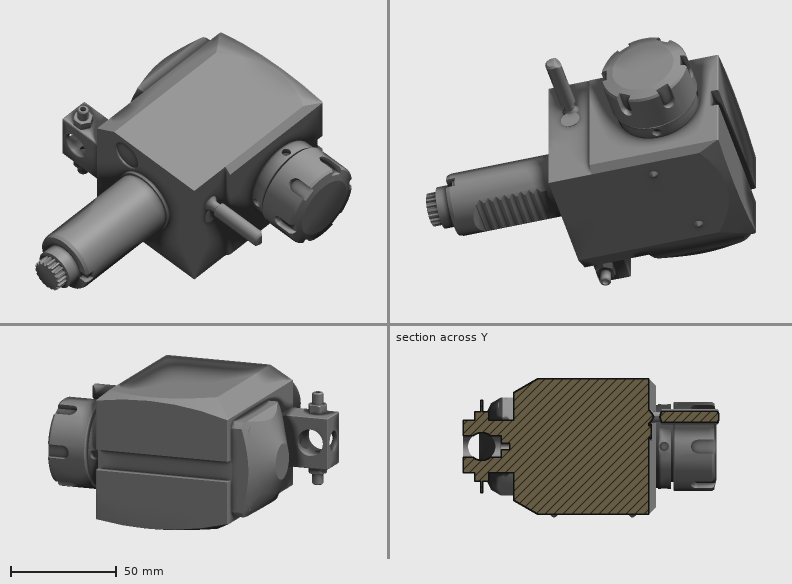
import cadquery as cq
import math

HALF = 32.0
DEPTH = 84.0
SIDE_BEVEL_X = 11.3
SIDE_BEVEL_ANGLE = 30.0
SIDE_BEVEL_Z = SIDE_BEVEL_X * math.tan(math.radians(SIDE_BEVEL_ANGLE))
PLATE_X = 35.2
PLATE_START_Y = 21.0
REAR_EDGE_CHAMFER = 0.6
CROWN_X = 9.2
CROWN_DROP = 0.9
CROWN_RADIUS = 145.0
CROWN_SLOPE = 0.26
REAR_SLOT_WIDTH = 10.0
REAR_SLOT_DEPTH = 3.7
RECESS_X, RECESS_Z = -12.5, 21.5
RECESS_DIAMETER = 14.6
RECESS_DEPTH = 1.0

COLLAR_RADIUS, COLLAR_END = 16.0, 1.5
RELIEF_RADIUS, RELIEF_END = 14.7, 2.2
SHANK_RADIUS, SHANK_END = 15.0, 55.2
SHANK_BEVEL_RADIUS, SHANK_BEVEL = 14.5, 1.8
PILOT_RADIUS, PILOT_END = 10.0, 61.5
SPLINE_END = 67.0
SPLINE_TEETH = 18
FIRST_TOOTH_ANGLE = 90.0
SPLINE_ROOT_RADIUS, SPLINE_TIP_RADIUS = 6.9, 8.0
TOOTH_ROOT_WIDTH, TOOTH_TIP_WIDTH = 1.8, 0.8
SPLINE_END_BEVEL = 0.4
FLAT_Z = -12.1
FLAT_START_Y, FLAT_END_Y = -7.3, -42.2
FLAT_STEP = 1.3
TOOTH_PITCH = 4.0
GROOVE_COUNT = 8
FIRST_GROOVE_Y = -11.9
GROOVE_DEPTH = 1.3
GROOVE_WIDTH = 3.5
KEYWAY_WIDTH, KEYWAY_LENGTH, KEYWAY_FLOOR_X = 5.2, 4.5, 12.9
KEYWAY_STEP_LENGTH = 2.5

SPINDLE_Y = 55.0
RING_START, RING_END, RING_RADIUS = 36.2, 42.4, 20.0
NECK_RADIUS = 16.8
NUT_START, NUT_RIM, NUT_RIM_END, NUT_END = 43.5, 61.6, 62.7, 63.9
NUT_RADIUS, NUT_RIM_RADIUS, NUT_FACE_RADIUS = 21.1, 20.3, 15.0
NUT_BEVEL = 0.5
NUT_SLOTS = 6
FIRST_SLOT_ANGLE = 30.0
NUT_SLOT_WIDTH, NUT_SLOT_START, NUT_SLOT_FLOOR = 6.4, 51.8, 18.0
RING_HOLES = 4
RING_HOLE_X, RING_HOLE_DIAMETER, RING_HOLE_DEPTH = 39.1, 4.4, 3.0

COVER_RADIUS = 32.0
COVER_RIM_X, COVER_TIP_X = -37.2, -48.2
COVER_TIP_RADIUS = 8.65
COVER_HALF_HEIGHT = 23.1
COVER_BACK = 24.7
FACET_START_X = -38.0
FACET_ANGLE = 30.0
COVER_SCREW_OFFSET = 17.8
COVER_SCREW_RADIUS = 3.0
COVER_SCREW_FACE_X = -39.3

COOLANT_X = -55.88
COOLANT_FRONT, COOLANT_REAR = 0.8, 16.0
COOLANT_HALF_HEIGHT = 12.5
COOLANT_CHAMFER = 0.4
BORE_X, BORE_DIAMETER = -47.0, 12.9
INLET_Y = (COOLANT_FRONT + COOLANT_REAR) / 2
INLET_DIAMETER, CHANNEL_DIAMETER = 9.9, 2.8
INLET_END_X, CHANNEL_END_X = -38.0, -34.0
SCREW_Y = 6.0
HEXAGON_SIDES = 6
LOCK_NUT_FLATS, LOCK_NUT_HEIGHT, LOCK_NUT_CHAMFER = 8.3, 4.1, 0.5
SCREW_RADIUS, SCREW_TOP, SCREW_CHAMFER = 2.6, 22.3, 0.5
SOCKET_DIAMETER, SOCKET_DEPTH = 3.0, 3.0
SCREW_CHANNEL_Z = 8.0

PIN_Y, PIN_Z = 10.9, 14.0
PIN_RADIUS, PIN_START, PIN_END = 3.65, 37.9, 65.0
PIN_TIP_CHAMFER = 0.9
PIN_TIP_BEVEL = 2.8
STEM_RADIUS, SEAT_RADIUS, SEAT_END = 2.4, 4.0, 34.0
STEM_BEVEL = 0.8
WASHER_Z, WASHER_END = 7.1, 33.2
WASHER_BASE_RADIUS, WASHER_RADIUS = 3.6, 4.6

STUD_POSITIONS = [(-12.9, 61.0), (24.1, 49.2)]
STUD_RADIUS, STUD_TIP_RADIUS, STUD_HEIGHT = 2.2, 0.3, 1.6

EMBED = 1.0
MOUTH_CHAMFER = 0.35
CLEAR = 100.0


def box(x0, x1, y0, y1, z0, z1):
    """Box between two opposite corners."""
    return cq.Workplane("XY").box(x1 - x0, y1 - y0, z1 - z0, centered=False).translate((x0, y0, z0))


def cylinder(start, direction, radius, length):
    """Round bar from a start point along a direction."""
    return cq.Workplane(obj=cq.Solid.makeCylinder(radius, length, cq.Vector(*start), cq.Vector(*direction)))


def bore_y(x, y, z, diameter, depth):
    """Cutter for a bore along +Y with a chamfered mouth."""
    radius = diameter / 2
    points = [
        (0, 0),
        (radius + MOUTH_CHAMFER, 0),
        (radius, MOUTH_CHAMFER),
        (radius, depth),
        (0, depth),
    ]
    return turned_y(points).translate((x, y, z))


def turned_x(points, y, z):
    """Body turned about an axis parallel to X, from (x, radius) points."""
    profile = cq.Workplane("XY").polyline(points).close()
    return profile.revolve(360, (0, 0, 0), (1, 0, 0)).translate((0, y, z))


def turned_y(points):
    """Body turned about the Y axis, from (radius, y) points."""
    return cq.Workplane("XY").polyline(points).close().revolve(360, (0, 0, 0), (0, 1, 0))


def crown_envelope(side):
    """Large cone whose surface forms the arched rear bevel (side +1 top, -1 bottom)."""
    front_radius = CROWN_RADIUS + CROWN_SLOPE * DEPTH
    cone = turned_y([(0, 0), (front_radius, 0), (CROWN_RADIUS, DEPTH), (0, DEPTH)])
    axis_z = HALF - CROWN_DROP - CROWN_RADIUS
    return cone.translate((CROWN_X, 0, side * axis_z))


def housing():
    """Bevelled block with side plate, arched rear bevels, rear slot and round recess."""
    plate_bevel = PLATE_X - HALF
    outline = [
        (-HALF, -HALF + SIDE_BEVEL_Z),
        (-HALF + SIDE_BEVEL_X, -HALF),
        (HALF, -HALF),
        (PLATE_X, -HALF + plate_bevel),
        (PLATE_X, HALF - plate_bevel),
        (HALF, HALF),
        (-HALF + SIDE_BEVEL_X, HALF),
        (-HALF, HALF - SIDE_BEVEL_Z),
    ]
    body = cq.Workplane("XZ").polyline(outline).close().extrude(-DEPTH)
    for side_x in (-HALF, PLATE_X):
        body = body.edges(cq.selectors.NearestToPointSelector((side_x, DEPTH, 0))).chamfer(REAR_EDGE_CHAMFER)
    body = body.cut(box(HALF, CLEAR, -EMBED, PLATE_START_Y, -HALF, HALF))
    for side in (1, -1):
        body = body.intersect(crown_envelope(side))
    half_slot = REAR_SLOT_WIDTH / 2
    body = body.cut(box(-CLEAR, CLEAR, DEPTH - REAR_SLOT_DEPTH, DEPTH + EMBED, -half_slot, half_slot))
    return body.cut(bore_y(RECESS_X, 0, RECESS_Z, RECESS_DIAMETER, RECESS_DEPTH))


def serration_cutter():
    """Flat below the shank with V grooves across it."""
    ramp_bottom = -COLLAR_RADIUS - EMBED
    ramp = FLAT_Z - ramp_bottom
    outline = [
        (FLAT_START_Y, FLAT_Z),
        (FLAT_START_Y, FLAT_Z - FLAT_STEP),
        (FLAT_START_Y + ramp - FLAT_STEP, ramp_bottom),
        (FLAT_END_Y - ramp, ramp_bottom),
        (FLAT_END_Y, FLAT_Z),
    ]
    cutter = cq.Workplane("YZ").polyline(outline).close().extrude(COLLAR_RADIUS, both=True)
    half_groove = GROOVE_WIDTH / 2
    for index in range(GROOVE_COUNT):
        y = FIRST_GROOVE_Y - index * TOOTH_PITCH
        groove = [(y - half_groove, FLAT_Z), (y, FLAT_Z + GROOVE_DEPTH), (y + half_groove, FLAT_Z)]
        cutter = cutter.union(cq.Workplane("YZ").polyline(groove).close().extrude(COLLAR_RADIUS, both=True))
    return cutter


def spline():
    """Toothed drive end of the shank."""
    start_y = -PILOT_END + EMBED
    body = cylinder((0, start_y, 0), (0, -1, 0), SPLINE_ROOT_RADIUS, start_y + SPLINE_END)
    base_x = SPLINE_ROOT_RADIUS - EMBED / 2
    half_root, half_tip = TOOTH_ROOT_WIDTH / 2, TOOTH_TIP_WIDTH / 2
    profile = [
        (base_x, -half_root),
        (SPLINE_TIP_RADIUS, -half_tip),
        (SPLINE_TIP_RADIUS, half_tip),
        (base_x, half_root),
    ]
    tooth = cq.Workplane("XZ", origin=(0, -PILOT_END, 0)).polyline(profile).close()
    tooth = tooth.extrude(SPLINE_END - PILOT_END)
    for index in range(SPLINE_TEETH):
        angle = FIRST_TOOTH_ANGLE + index * 360 / SPLINE_TEETH
        body = body.union(tooth.rotate((0, 0, 0), (0, 1, 0), angle))
    envelope = turned_y([
        (0, 0),
        (SPLINE_TIP_RADIUS + EMBED, 0),
        (SPLINE_TIP_RADIUS + EMBED, -PILOT_END),
        (SPLINE_TIP_RADIUS, -SPLINE_END + SPLINE_END_BEVEL),
        (SPLINE_ROOT_RADIUS, -SPLINE_END),
        (0, -SPLINE_END),
    ])
    return body.intersect(envelope)


def shank():
    """Stepped round shank with serrated flat, keyway and spline."""
    body = turned_y([
        (0, EMBED),
        (COLLAR_RADIUS, EMBED),
        (COLLAR_RADIUS, -COLLAR_END),
        (RELIEF_RADIUS, -COLLAR_END),
        (RELIEF_RADIUS, -RELIEF_END),
        (SHANK_RADIUS, -RELIEF_END),
        (SHANK_RADIUS, -SHANK_END + SHANK_BEVEL),
        (SHANK_BEVEL_RADIUS, -SHANK_END),
        (PILOT_RADIUS, -SHANK_END),
        (PILOT_RADIUS, -PILOT_END),
        (0, -PILOT_END),
    ])
    body = body.cut(serration_cutter())
    half_key = KEYWAY_WIDTH / 2
    keyway_y = -SHANK_END + KEYWAY_LENGTH
    step_y = -SHANK_END + KEYWAY_STEP_LENGTH
    body = body.cut(box(KEYWAY_FLOOR_X, COLLAR_RADIUS, -SHANK_END, keyway_y, -half_key, half_key))
    body = body.cut(box(PILOT_RADIUS, COLLAR_RADIUS, -SHANK_END, step_y, -half_key, half_key))
    return body.union(spline())


def nut_slot():
    """Round-ended wrench slot at the +Z side of the nut."""
    half = NUT_SLOT_WIDTH / 2
    center_x = NUT_SLOT_START + half
    height = NUT_RADIUS
    straight = box(center_x, NUT_END + EMBED, -half, half, NUT_SLOT_FLOOR, NUT_SLOT_FLOOR + height)
    return straight.union(cylinder((center_x, 0, NUT_SLOT_FLOOR), (0, 0, 1), half, height))


def spindle():
    """Spindle ring, neck and slotted collet nut."""
    body = turned_x([
        (HALF, 0),
        (HALF, RING_RADIUS - NUT_BEVEL),
        (RING_START, RING_RADIUS - NUT_BEVEL),
        (RING_START, RING_RADIUS),
        (RING_END, RING_RADIUS),
        (RING_END, NECK_RADIUS),
        (NUT_START, NECK_RADIUS),
        (NUT_START, NUT_RADIUS - NUT_BEVEL),
        (NUT_START + NUT_BEVEL, NUT_RADIUS),
        (NUT_RIM, NUT_RADIUS),
        (NUT_RIM_END, NUT_RIM_RADIUS),
        (NUT_END, NUT_FACE_RADIUS),
        (NUT_END, 0),
    ], 0, 0)
    for index in range(NUT_SLOTS):
        angle = FIRST_SLOT_ANGLE + index * 360 / NUT_SLOTS
        body = body.cut(nut_slot().rotate((0, 0, 0), (1, 0, 0), angle))
    hole_floor = (RING_HOLE_X, 0, RING_RADIUS - RING_HOLE_DEPTH)
    hole = cylinder(hole_floor, (0, 0, 1), RING_HOLE_DIAMETER / 2, RING_HOLE_DEPTH + EMBED)
    for index in range(RING_HOLES):
        body = body.cut(hole.rotate((0, 0, 0), (1, 0, 0), index * 360 / RING_HOLES))
    return body.translate((0, SPINDLE_Y, 0))


def cover():
    """Conical cover with flat sides, sloped facets and four screw heads."""
    base_x = -HALF + EMBED
    body = turned_x([
        (base_x, 0),
        (base_x, COVER_RADIUS),
        (COVER_RIM_X, COVER_RADIUS),
        (COVER_TIP_X, COVER_TIP_RADIUS),
        (COVER_TIP_X, 0),
    ], 0, 0)
    for side_y in (1, -1):
        for side_z in (1, -1):
            start = (base_x, side_y * COVER_SCREW_OFFSET, side_z * COVER_SCREW_OFFSET)
            body = body.union(cylinder(start, (-1, 0, 0), COVER_SCREW_RADIUS, base_x - COVER_SCREW_FACE_X))
    facet_drop = (FACET_START_X - COVER_TIP_X) * math.tan(math.radians(FACET_ANGLE))
    tip_half = COVER_HALF_HEIGHT - facet_drop
    envelope = cq.Workplane("XZ").polyline([
        (base_x, -COVER_HALF_HEIGHT),
        (FACET_START_X, -COVER_HALF_HEIGHT),
        (COVER_TIP_X, -tip_half),
        (COVER_TIP_X, tip_half),
        (FACET_START_X, COVER_HALF_HEIGHT),
        (base_x, COVER_HALF_HEIGHT),
    ]).close().extrude(COVER_RADIUS + COVER_BACK).translate((0, COVER_BACK, 0))
    return body.intersect(envelope).translate((0, SPINDLE_Y, 0))


def coolant_screw():
    """Hexagon lock nut with a socket screw on top of the coolant block."""
    corner_diameter = LOCK_NUT_FLATS / math.cos(math.pi / HEXAGON_SIDES)
    plane = cq.Workplane("XY", origin=(BORE_X, SCREW_Y, COOLANT_HALF_HEIGHT))
    lock_nut = plane.polygon(HEXAGON_SIDES, corner_diameter).extrude(LOCK_NUT_HEIGHT)
    rounding = plane.circle(corner_diameter / 2).extrude(LOCK_NUT_HEIGHT)
    rounding = rounding.faces(">Z").chamfer(LOCK_NUT_CHAMFER)
    start_z = COOLANT_HALF_HEIGHT - EMBED
    screw = cylinder((BORE_X, SCREW_Y, start_z), (0, 0, 1), SCREW_RADIUS, SCREW_TOP - start_z)
    screw = screw.faces(">Z").chamfer(SCREW_CHAMFER)
    socket = cylinder((BORE_X, SCREW_Y, SCREW_TOP), (0, 0, -1), SOCKET_DIAMETER / 2, SOCKET_DEPTH)
    return lock_nut.intersect(rounding).union(screw).cut(socket)


def coolant_block():
    """Coolant block with crossing bores and a screw above and below."""
    base_x = -HALF + EMBED
    body = box(COOLANT_X, base_x, COOLANT_FRONT, COOLANT_REAR, -COOLANT_HALF_HEIGHT, COOLANT_HALF_HEIGHT)
    body = body.faces("<X").edges().chamfer(COOLANT_CHAMFER)
    body = body.edges("|X").chamfer(COOLANT_CHAMFER)
    upper = coolant_screw()
    body = body.union(upper).union(upper.mirror("XY"))
    body = body.cut(bore_y(BORE_X, COOLANT_FRONT, 0, BORE_DIAMETER, COOLANT_REAR - COOLANT_FRONT))
    body = body.cut(cylinder((COOLANT_X, INLET_Y, 0), (1, 0, 0), INLET_DIAMETER / 2, INLET_END_X - COOLANT_X))
    body = body.cut(cylinder((BORE_X, INLET_Y, 0), (1, 0, 0), CHANNEL_DIAMETER / 2, CHANNEL_END_X - BORE_X))
    channel_start = (BORE_X, SCREW_Y, -SCREW_CHANNEL_Z)
    return body.cut(cylinder(channel_start, (0, 0, 1), CHANNEL_DIAMETER / 2, 2 * SCREW_CHANNEL_Z))


def coolant_pin():
    """Pin on a conical seat, with a dished washer beside it."""
    base_x = HALF - EMBED
    pin = turned_x([
        (base_x, 0),
        (base_x, SEAT_RADIUS),
        (HALF, SEAT_RADIUS),
        (SEAT_END, STEM_RADIUS),
        (PIN_START - STEM_BEVEL, STEM_RADIUS),
        (PIN_START, PIN_RADIUS),
        (PIN_END - PIN_TIP_CHAMFER, PIN_RADIUS),
        (PIN_END, PIN_RADIUS - PIN_TIP_CHAMFER),
        (PIN_END, 0),
    ], PIN_Y, PIN_Z)
    side_y = PIN_Y + PIN_RADIUS
    bevel = [(PIN_END, side_y), (PIN_END - PIN_TIP_BEVEL, side_y), (PIN_END, side_y - PIN_TIP_BEVEL)]
    pin = pin.cut(cq.Workplane("XY").polyline(bevel).close().extrude(CLEAR))
    washer = turned_x([
        (base_x, 0),
        (base_x, WASHER_BASE_RADIUS),
        (HALF, WASHER_BASE_RADIUS),
        (WASHER_END, WASHER_RADIUS),
        (WASHER_END, 0),
    ], PIN_Y, WASHER_Z)
    return pin.union(washer)


def pointed_stud(x, y):
    """Conical stud point below the housing."""
    top = -HALF + EMBED
    tip = -HALF - STUD_HEIGHT
    points = [(0, top), (STUD_RADIUS, top), (STUD_RADIUS, -HALF), (STUD_TIP_RADIUS, tip), (0, tip)]
    profile = cq.Workplane("XZ").polyline(points).close()
    return profile.revolve(360, (0, 0, 0), (0, 1, 0)).translate((x, y, 0))


result = housing()
for feature in (shank(), spindle(), cover(), coolant_block(), coolant_pin()):
    result = result.union(feature)
for stud_x, stud_y in STUD_POSITIONS:
    result = result.union(pointed_stud(stud_x, stud_y))